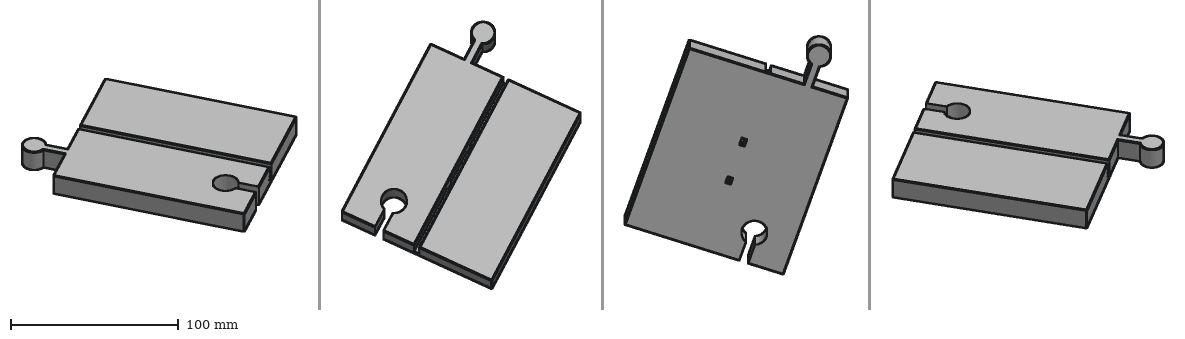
import cadquery as cq

total_length = 147.3
plate_length = 120.0
plate_width = 100.0
thickness = 14.0
edge_break = 0.5

connector_y = 25.0
connector_reach = 20.0
tab_radius = total_length - plate_length - connector_reach
neck_width = 5.5
socket_radius = 7.7
socket_slot_width = 5.6

groove_width = 3.2
groove_depth = 10.0
opening_starts = (44.6, 70.8)
opening_lengths = (4.7, 4.3)


def box_from(x_start, x_end, y_center, width, z_start=0.0):
    """Box between two X positions, centred in Y, rising to the top face."""
    return (
        cq.Workplane("XY")
        .box(x_end - x_start, width, thickness - z_start, centered=(False, True, False))
        .translate((x_start, y_center, z_start))
    )


def keyhole(head_x, head_radius, neck_end_x, width):
    """Round head with a straight neck running from its centre in +X."""
    head = cq.Workplane("XY").center(head_x, connector_y).circle(head_radius).extrude(thickness)
    return head.union(box_from(head_x, neck_end_x, connector_y, width))


plate = box_from(0, plate_length, plate_width / 2, plate_width).edges("|Z").chamfer(edge_break)
tab = keyhole(-connector_reach, tab_radius, plate_length / 2, neck_width)
groove = box_from(0, plate_length, plate_width / 2, groove_width, thickness - groove_depth)
body = plate.union(tab).cut(groove)

body = body.faces("<Z or >Z").edges().chamfer(edge_break)

socket = keyhole(plate_length - connector_reach, socket_radius, plate_length, socket_slot_width)
body = body.cut(socket)

for start, length in zip(opening_starts, opening_lengths):
    body = body.cut(box_from(start, start + length, plate_width / 2, groove_width))

result = body